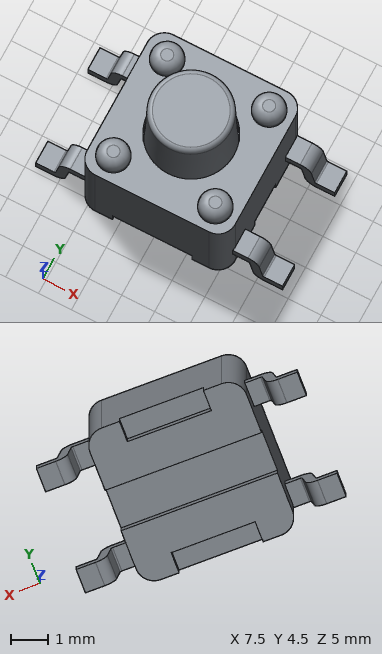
import cadquery as cq
import math

body_side = 4.5
body_bottom = 0.1
body_height = 3.0
body_top = body_bottom + body_height
corner_diameter = 1.04

recess_height = 0.3
slot_width = 1.2
notch_width = 2.415
notch_depth = 0.6

button_top = 5.0
button_top_diameter = 2.38
button_taper = 2.0
button_edge_radius = 0.15
well_diameter = 2.6
well_depth = 0.45

rivet_diameter = 0.95
rivet_height = 0.4
rivet_edge_radius = 0.3
rivet_spacing = 3.1

terminal_span = 7.5
terminal_width = 0.7
terminal_thickness = 0.3
terminal_top = 1.2
terminal_spacing = 3.0
terminal_slant = math.radians(10.0)
bend_outer_diameter = 0.7
bend_outer_radius = bend_outer_diameter / 2
bend_inner_radius = bend_outer_radius - terminal_thickness
upper_bend_x = 2.7
terminal_root_x = 1.5


def square_pattern(spacing):
    half = spacing / 2
    return [(x, y) for x in (-half, half) for y in (-half, half)]


def make_body():
    body = (
        cq.Workplane("XY", origin=(0, 0, body_bottom))
        .rect(body_side, body_side)
        .extrude(body_height)
        .edges("|Z")
        .fillet(corner_diameter / 2)
    )
    underside = cq.Workplane("XY", origin=(0, 0, body_bottom))
    slot = underside.rect(body_side, slot_width).extrude(recess_height)
    notches = (
        underside.pushPoints([(0, -body_side / 2), (0, body_side / 2)])
        .rect(notch_width, 2 * notch_depth)
        .extrude(recess_height)
    )
    well = (
        cq.Workplane("XY", origin=(0, 0, body_top - well_depth))
        .circle(well_diameter / 2)
        .extrude(well_depth)
    )
    return body.cut(slot).cut(notches).cut(well)


def make_button():
    height = button_top - (body_top - well_depth)
    top_radius = button_top_diameter / 2
    base_radius = top_radius + height * math.tan(math.radians(button_taper))
    return (
        cq.Workplane("XY", origin=(0, 0, body_top - well_depth))
        .circle(base_radius)
        .workplane(offset=height)
        .circle(top_radius)
        .loft()
        .faces(">Z")
        .edges()
        .fillet(button_edge_radius)
    )


def make_rivets():
    return (
        cq.Workplane("XY", origin=(0, 0, body_top))
        .pushPoints(square_pattern(rivet_spacing))
        .circle(rivet_diameter / 2)
        .extrude(rivet_height)
        .faces(">Z")
        .edges()
        .fillet(rivet_edge_radius)
    )


def make_terminal():
    """Terminal on the +X side, centred on Y = 0, with its foot on Z = 0."""
    upper_z = terminal_top - bend_outer_radius
    lower_z = bend_outer_radius
    centre_gap = bend_outer_radius + bend_inner_radius
    drop = upper_z - lower_z
    lower_bend_x = upper_bend_x + (centre_gap + drop * math.sin(terminal_slant)) / math.cos(terminal_slant)

    def on_upper(radius, angle):
        return (upper_bend_x + radius * math.cos(angle), upper_z + radius * math.sin(angle))

    def on_lower(radius, angle):
        return (lower_bend_x - radius * math.cos(angle), lower_z - radius * math.sin(angle))

    level = math.pi / 2
    middle = (level + terminal_slant) / 2
    tip_x = terminal_span / 2
    profile = (
        cq.Workplane("XZ")
        .moveTo(terminal_root_x, terminal_top)
        .lineTo(*on_upper(bend_outer_radius, level))
        .threePointArc(on_upper(bend_outer_radius, middle), on_upper(bend_outer_radius, terminal_slant))
        .lineTo(*on_lower(bend_inner_radius, terminal_slant))
        .threePointArc(on_lower(bend_inner_radius, middle), on_lower(bend_inner_radius, level))
        .lineTo(tip_x, terminal_thickness)
        .lineTo(tip_x, 0)
        .lineTo(*on_lower(bend_outer_radius, level))
        .threePointArc(on_lower(bend_outer_radius, middle), on_lower(bend_outer_radius, terminal_slant))
        .lineTo(*on_upper(bend_inner_radius, terminal_slant))
        .threePointArc(on_upper(bend_inner_radius, middle), on_upper(bend_inner_radius, level))
        .lineTo(terminal_root_x, terminal_top - terminal_thickness)
        .close()
    )
    return profile.extrude(terminal_width / 2, both=True)


result = make_body().union(make_button()).union(make_rivets())

terminal = make_terminal()
for side_angle in (0, 180):
    for terminal_y in (-terminal_spacing / 2, terminal_spacing / 2):
        placed = terminal.translate((0, terminal_y, 0)).rotate((0, 0, 0), (0, 0, 1), side_angle)
        result = result.union(placed)